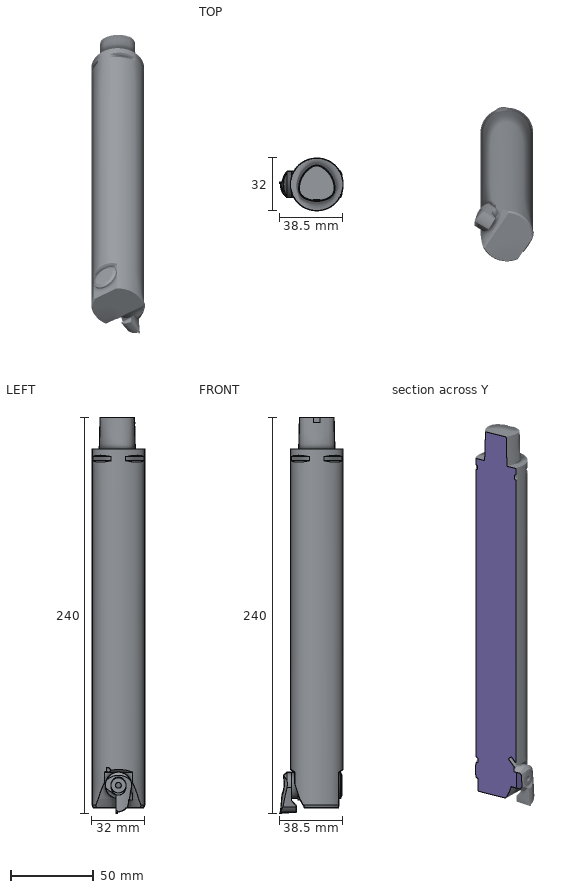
import cadquery as cq
import math


bar_diameter = 32.0
bar_radius = bar_diameter / 2
bar_end_z = -217.7
end_chamfer_height = 1.7
end_chamfer_width = 0.8

shank_length = 19.0
shank_lobe_radius = 6.5
shank_lobe_center = 5.2
shank_wide_reach = shank_lobe_radius + shank_lobe_center * (math.sqrt(3) - 1)
shank_taper_ratio = 20.0
shank_tip_inset = shank_length / shank_taper_ratio / 2
shank_mark_width = 4.0
shank_mark_height = 3.0
shank_mark_depth = 0.7

gripper_z = -6.0
gripper_floor_height = 2.4
gripper_mouth_height = 4.2
gripper_floor_distance = 14.0
gripper_angles = (45, 135, 225, 315)

seat_axis_z = -204.0
seat_flat_x = 13.3
seat_roof_z = -194.4
seat_roof_drop = 1.8
seat_half_width = 8.4
boss_diameter = 16.0
boss_radius = boss_diameter / 2
boss_face_x = -15.2
seat_corner_x = -11.5
seat_corner_z = -212.8

relief_top_z = bar_end_z + 14.5
relief_break_z = bar_end_z + 5.2
relief_break_x = -10.2
relief_end_x = -7.4

pad_rim_x = 14.4
pad_face_x = 15.2
pad_face_radius = 6.2

coolant_diameter = 2.5
coolant_y = 6.0
coolant_depth = 8.0
coolant_tilt = 45.0

head_rim_x = -18.1
head_cone_x = -20.3
head_cone_radius = 5.9
front_face_x = -20.6
front_face_slope = 0.085
front_curve_radius = 13.0
arm_top_z = -205.3
arm_back_y = 1.5
arm_front_y = -5.6
arm_end_z = -220.3
edge_tip_z = -221.0
edge_tip_x = -22.46
edge_width = 0.9
heel_x = -12.3
heel_start_z = -213.2
heel_z = -216.5
arm_corner_rise = 3.3
arm_middle_rise = 0.7

screw_head_diameter = 9.2
screw_head_x = -19.8
screw_head_height = 2.6
countersink_depth = 3.0
screw_shank_diameter = 6.5
screw_tip_x = -4.0
socket_diameter = 3.52
socket_depth = 2.0

far = 2 * bar_diameter


def x_cylinder(radius, start_x, end_x):
    """Cylinder along X on the axis of the seat."""
    plane = cq.Workplane("YZ", origin=(start_x, 0, seat_axis_z))
    return plane.circle(radius).extrude(end_x - start_x)


def x_cone(start_radius, end_radius, start_x, end_x):
    """Truncated cone along X on the axis of the seat."""
    solid = cq.Solid.makeCone(
        start_radius,
        end_radius,
        abs(end_x - start_x),
        cq.Vector(start_x, 0, seat_axis_z),
        cq.Vector(math.copysign(1, end_x - start_x), 0, 0),
    )
    return cq.Workplane(solid)


def xz_prism(points, start_y, end_y):
    """Prism along Y with an outline given as (x, z) points."""
    plane = cq.Workplane("XZ", origin=(0, end_y, 0))
    return plane.polyline(points).close().extrude(end_y - start_y)


def turned(point, angle):
    """Point turned about the bar axis, in degrees."""
    x, y = point
    cosine = math.cos(math.radians(angle))
    sine = math.sin(math.radians(angle))
    return (x * cosine - y * sine, x * sine + y * cosine)


def lobed_wire(inset, z):
    """Three tight lobe arcs joined by three wide arcs, all tangent, with one lobe toward +Y."""
    lobe_radius = shank_lobe_radius - inset
    half_chord = lobe_radius / 2
    chord_y = shank_lobe_center + lobe_radius * math.cos(math.radians(30))
    lobe_start = (half_chord, chord_y)
    lobe_middle = (0, shank_lobe_center + lobe_radius)
    lobe_end = (-half_chord, chord_y)
    wide_middle = turned((0, shank_wide_reach - inset), 60)
    wire = cq.Workplane("XY", origin=(0, 0, z)).moveTo(*lobe_start)
    for angle in (0, 120, 240):
        wire = wire.threePointArc(turned(lobe_middle, angle), turned(lobe_end, angle))
        wire = wire.threePointArc(turned(wide_middle, angle), turned(lobe_start, angle + 120))
    return wire.wire().val()


def make_shank():
    base = lobed_wire(0, 0)
    tip = lobed_wire(shank_tip_inset, shank_length)
    shank = cq.Workplane(cq.Solid.makeLoft([base, tip], True))
    flat_y = shank_tip_inset - shank_wide_reach
    mark = cq.Workplane("XY").box(
        shank_mark_width, 2 * shank_mark_depth, 2 * shank_mark_height
    )
    return shank.cut(mark.translate((0, flat_y, shank_length)))


def make_bar():
    end_radius = bar_radius - end_chamfer_width
    profile = [
        (0, 0),
        (bar_radius, 0),
        (bar_radius, bar_end_z + end_chamfer_height),
        (end_radius, bar_end_z),
        (0, bar_end_z),
    ]
    return cq.Workplane("XZ").polyline(profile).close().revolve()


def cut_gripper_grooves(body):
    outer_x = 2 * bar_radius - gripper_floor_distance
    half_floor = gripper_floor_height / 2
    half_outer = gripper_mouth_height - half_floor
    points = [
        (gripper_floor_distance, gripper_z + half_floor),
        (outer_x, gripper_z + half_outer),
        (outer_x, gripper_z - half_outer),
        (gripper_floor_distance, gripper_z - half_floor),
    ]
    cutter = xz_prism(points, -bar_radius, bar_radius)
    for angle in gripper_angles:
        body = body.cut(cutter.rotate((0, 0, 0), (0, 0, 1), angle))
    return body


def seat_cutter(side):
    """Flat-bottomed pocket, open at the bar end, whose roof drops toward the bar axis."""
    floor_roof_z = seat_roof_z - seat_roof_drop
    run = bar_radius - seat_flat_x
    points = [
        (side * seat_flat_x, floor_roof_z),
        (side * (bar_radius + run), seat_roof_z + seat_roof_drop),
        (side * (bar_radius + run), bar_end_z),
        (side * seat_flat_x, bar_end_z),
    ]
    return xz_prism(points, -seat_half_width, seat_half_width)


def relief_cutter():
    upper_slope = (relief_top_z - relief_break_z) / (relief_break_x + seat_flat_x)
    outer_z = relief_top_z + upper_slope * (far - seat_flat_x)
    points = [
        (relief_break_x, relief_break_z),
        (relief_end_x, bar_end_z),
        (-far, bar_end_z),
        (-far, outer_z),
    ]
    return xz_prism(points, -bar_radius, bar_radius)


def make_seat_corner():
    """Square shoulder under the boss, toward -Y."""
    points = [
        (seat_corner_x, seat_axis_z),
        (relief_end_x, seat_axis_z),
        (relief_end_x, seat_corner_z),
        (seat_corner_x, seat_corner_z),
    ]
    return xz_prism(points, -seat_half_width, 0)


def coolant_cutter():
    tilt = math.radians(coolant_tilt)
    direction = cq.Vector(math.sin(tilt), 0, math.cos(tilt))
    start = cq.Vector(-bar_radius, coolant_y, seat_roof_z - seat_roof_drop)
    return cq.Workplane(cq.Solid.makeCylinder(coolant_diameter / 2, coolant_depth, start, direction))


def make_holder():
    body = cut_gripper_grooves(make_bar())
    for side in (-1, 1):
        body = body.cut(seat_cutter(side))
    body = body.cut(relief_cutter())
    body = body.cut(coolant_cutter())
    body = body.union(make_shank())
    body = body.union(x_cylinder(boss_radius, boss_face_x, relief_end_x))
    body = body.union(make_seat_corner())
    body = body.union(x_cylinder(boss_radius, 0, pad_rim_x))
    body = body.union(x_cone(boss_radius, pad_face_radius, pad_rim_x, pad_face_x))
    return body.cut(x_cylinder(screw_shank_diameter / 2, -far, screw_tip_x))


def front_x(z):
    """X of the foremost line of the sloping front face at height z."""
    return front_face_x + front_face_slope * (z - seat_axis_z)


def front_limit():
    """Tilted cylinder whose surface is the convex front face of the head."""
    start_z = seat_axis_z - far
    start = cq.Vector(front_x(start_z) + front_curve_radius, 0, start_z)
    axis = cq.Vector(front_face_slope, 0, 1)
    return cq.Workplane(cq.Solid.makeCylinder(front_curve_radius, 2 * far, start, axis))


def make_arm():
    side_profile = [
        (boss_face_x, arm_top_z),
        (boss_face_x, heel_start_z),
        (heel_x, heel_z),
        (heel_x, edge_tip_z),
        (-far, edge_tip_z),
        (-far, arm_top_z),
    ]
    side = xz_prism(side_profile, -boss_radius, boss_radius)
    corner_z = arm_end_z + arm_corner_rise
    middle_y = (arm_back_y + arm_front_y) / 2
    outline = (
        cq.Workplane("YZ", origin=(-far, 0, 0))
        .moveTo(arm_back_y, arm_top_z)
        .lineTo(arm_back_y, arm_end_z)
        .threePointArc((middle_y, arm_end_z + arm_middle_rise), (arm_front_y, corner_z))
        .lineTo(-boss_radius, arm_top_z)
        .close()
        .extrude(far)
    )
    return side.intersect(outline)


def make_edge():
    """Pointed cutting edge at the lower corner of the arm."""
    points = [
        (edge_tip_x, edge_tip_z),
        (front_x(arm_end_z + edge_width), arm_end_z + edge_width),
        (heel_x, arm_end_z + edge_width),
        (heel_x, arm_end_z),
    ]
    return xz_prism(points, arm_back_y - edge_width, arm_back_y)


def make_cutting_head():
    head = x_cylinder(boss_radius, head_rim_x, boss_face_x)
    nose = x_cone(boss_radius, head_cone_radius, head_rim_x, head_cone_x)
    nose = nose.union(x_cylinder(head_cone_radius, -far, head_cone_x))
    head = head.union(nose).union(make_arm()).intersect(front_limit()).union(make_edge())
    head_radius = screw_head_diameter / 2
    mouth_radius = head_radius + countersink_depth
    head = head.cut(x_cone(head_radius, mouth_radius, screw_head_x, screw_head_x - countersink_depth))
    head = head.cut(x_cylinder(head_radius, screw_head_x, screw_head_x + screw_head_height))
    return head.cut(x_cylinder(screw_shank_diameter / 2, screw_head_x, boss_face_x))


def make_screw():
    screw = x_cylinder(screw_head_diameter / 2, screw_head_x, screw_head_x + screw_head_height)
    screw = screw.union(x_cylinder(screw_shank_diameter / 2, screw_head_x, screw_tip_x))
    return screw.cut(x_cylinder(socket_diameter / 2, screw_head_x, screw_head_x + socket_depth))


holder = make_holder()
cutting_head = make_cutting_head()
screw = make_screw()

bodies = [body.solids().val() for body in (holder, cutting_head, screw)]
result = cq.Compound.makeCompound(bodies)